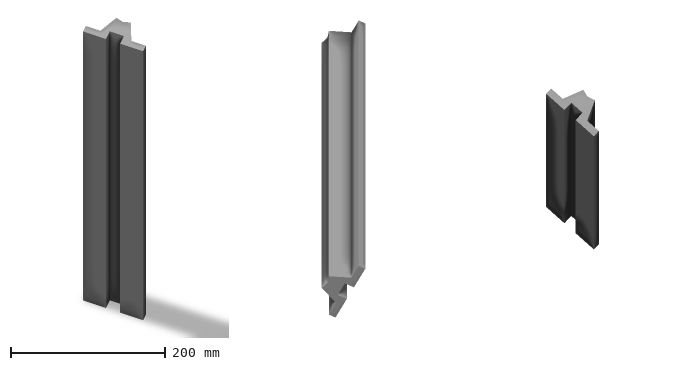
import cadquery as cq

length = 599.5
flange_width = 84.0
total_depth = 36.5
flange_thickness = 9.5
rib_root_width = 43.0
rib_crest_width = 20.5
notch_depth = 3.0
groove_width = 20.0
groove_depth = 13.0

front_y = -total_depth / 2
crest_y = total_depth / 2
flange_y = front_y + flange_thickness
groove_y = front_y + groove_depth

right_half = [
    (groove_width / 2, groove_y),
    (groove_width / 2, front_y),
    (flange_width / 2, front_y),
    (flange_width / 2, flange_y),
    (rib_root_width / 2, flange_y),
    (rib_crest_width / 2, crest_y),
]
notch_bottom = (0, crest_y - notch_depth)
left_half = [(-x, y) for x, y in reversed(right_half)]

result = (
    cq.Workplane("XY")
    .polyline(right_half + [notch_bottom] + left_half)
    .close()
    .extrude(length)
)